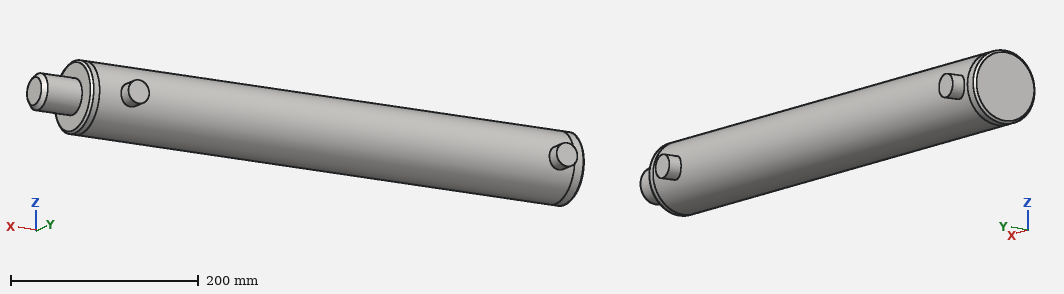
import cadquery as cq

total_length = 660.0
body_diameter = 80.0
body_radius = body_diameter / 2

end_cap_length = 13.0
head_start = 602.5
head_end = 612.5
edge_chamfer = 2.5

rod_diameter = 40.0
rod_chamfer = 4.95

overall_width = 95.0
port_diameter = 26.0
port_top = overall_width - body_radius
port_positions = [32.0, 563.0]


def rod_along_x(start, end, diameter):
    """Solid round bar on the X axis between two X positions."""
    return cq.Workplane("YZ", origin=(start, 0, 0)).circle(diameter / 2).extrude(end - start)


def make_end_cap():
    """Closed end with a chamfered outer rim."""
    return rod_along_x(0, end_cap_length, body_diameter).faces("<X").chamfer(edge_chamfer)


def make_barrel():
    """Main body between the end cap and the head."""
    return rod_along_x(end_cap_length, head_start, body_diameter)


def make_head():
    """Chamfered ring that guides the rod."""
    ring = rod_along_x(head_start, head_end, body_diameter).faces(">X").chamfer(edge_chamfer)
    return ring.cut(rod_along_x(head_start, head_end, rod_diameter))


def make_piston_rod():
    """Rod that passes through the head, chamfered at its free end."""
    return rod_along_x(head_start, total_length, rod_diameter).faces(">X").chamfer(rod_chamfer)


def make_port(position, seat):
    """Round boss whose foot is shaped to the curved seat."""
    boss = cq.Workplane("XZ", origin=(position, 0, 0)).circle(port_diameter / 2).extrude(-port_top)
    return boss.cut(seat)


end_cap = make_end_cap()
barrel = make_barrel()
head = make_head()
piston_rod = make_piston_rod()
ports = [make_port(position, barrel) for position in port_positions]

result = cq.Compound.makeCompound([
    end_cap.val(),
    barrel.val(),
    head.val(),
    piston_rod.val(),
    *[port.val() for port in ports],
])